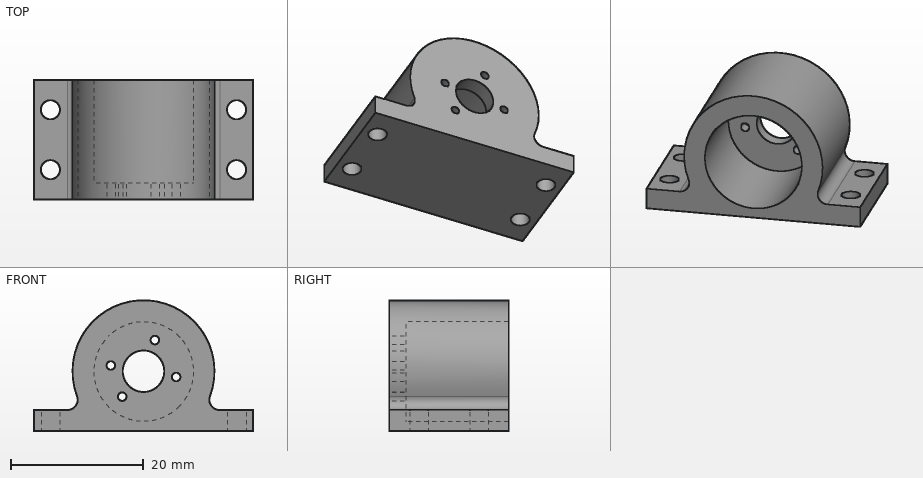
import cadquery as cq
import math

base_length = 33.02
depth = 18.03
base_thickness = 3.2

total_height = 19.7
housing_radius = 10.7
housing_center_z = total_height - housing_radius
blend_radius = 1.52

motor_bore_diameter = 15.0
shaft_hole_diameter = 6.2
front_wall = 2.5

screw_hole_diameter = 1.25
screw_circle_radius = 5.0
screw_angles = (-10, 70, 170, 230)

mount_hole_diameter = 2.85
mount_spacing_x = 28.0
mount_spacing_y = depth / 2


def extrude_back(sketch, length):
    """Extrude an XZ sketch toward +Y."""
    return sketch.extrude(-length)


def bracket_body():
    """Base and housing as one profile, with concave blends tangent to both."""
    half_base = base_length / 2
    blend_z = base_thickness + blend_radius
    center_distance = housing_radius + blend_radius
    drop = housing_center_z - blend_z
    blend_x = math.sqrt(center_distance**2 - drop**2)
    share = housing_radius / center_distance
    touch_x = blend_x * share
    touch_z = housing_center_z - drop * share
    waist_x = blend_x - blend_radius

    profile = (
        cq.Workplane("XZ")
        .moveTo(-half_base, 0)
        .lineTo(half_base, 0)
        .lineTo(half_base, base_thickness)
        .lineTo(blend_x, base_thickness)
        .threePointArc((waist_x, blend_z), (touch_x, touch_z))
        .threePointArc((0, total_height), (-touch_x, touch_z))
        .threePointArc((-waist_x, blend_z), (-blend_x, base_thickness))
        .lineTo(-half_base, base_thickness)
        .close()
    )
    return extrude_back(profile, depth)


def axial_hole(diameter, x=0.0, z=housing_center_z, start_y=0.0):
    """Cylinder along Y from start_y to the back face."""
    sketch = cq.Workplane("XZ", origin=(x, start_y, z)).circle(diameter / 2)
    return extrude_back(sketch, depth - start_y)


def screw_holes():
    """Screw holes around the shaft hole, opening into the motor bore."""
    holes = cq.Workplane("XZ")
    for angle in screw_angles:
        x = screw_circle_radius * math.cos(math.radians(angle))
        z = housing_center_z + screw_circle_radius * math.sin(math.radians(angle))
        holes = holes.add(axial_hole(screw_hole_diameter, x, z))
    return holes.combine()


def mount_holes():
    """Four vertical holes through the base."""
    return (
        cq.Workplane("XY", origin=(0, depth / 2, 0))
        .rarray(mount_spacing_x, mount_spacing_y, 2, 2)
        .circle(mount_hole_diameter / 2)
        .extrude(base_thickness)
    )


result = (
    bracket_body()
    .cut(axial_hole(motor_bore_diameter, start_y=front_wall))
    .cut(axial_hole(shaft_hole_diameter))
    .cut(screw_holes())
    .cut(mount_holes())
)